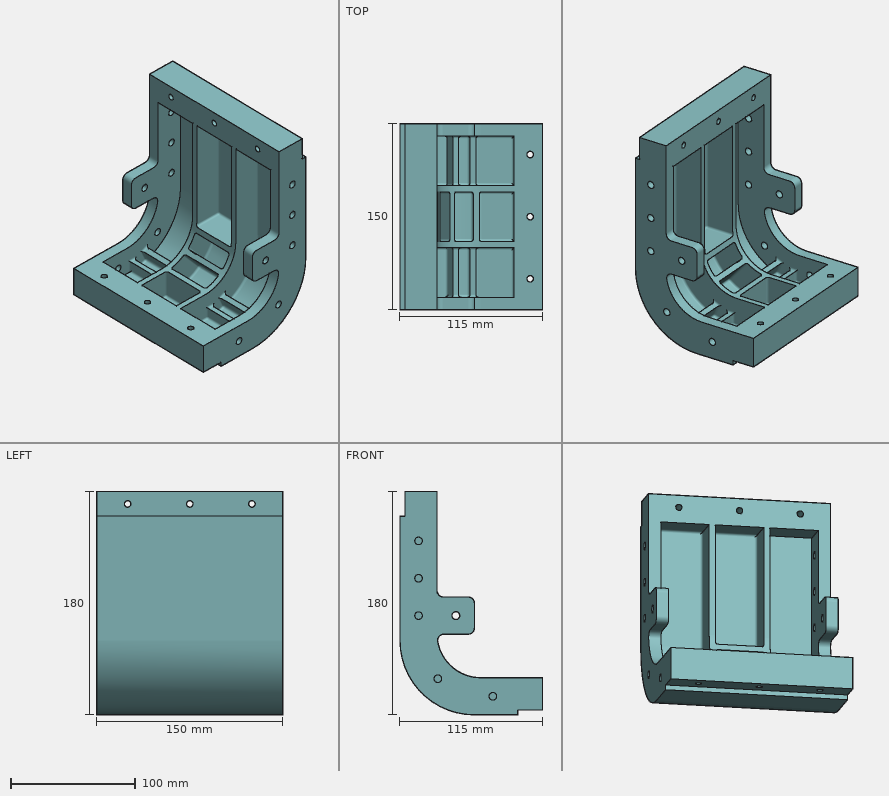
import cadquery as cq
import math

length_x = 115.0
width_y = 150.0
height_z = 180.0
wall = 30.0
outer_radius = 60.0
inner_radius = 35.0
bend_centre = wall + inner_radius

rebate_depth = 4.0
rebate_length = 20.0

lug_size = 30.0
lug_radius = 5.0
lug_bottom = bend_centre

end_plate = 10.0
web = 5.0
bay_count = 3
bay_width = (width_y - 2 * end_plate - (bay_count - 1) * web) / bay_count
bay_pitch = bay_width + web
skin = 5.0
bay_end_margin = 23.0
bay_top = height_z - bay_end_margin
bay_right = length_x - bay_end_margin
floor_radius = outer_radius - skin
bay_fillet = 2.0

rib = 4.9
middle_base_rib_x = 61.5
middle_leg_rib_z = 55.0
middle_slant = 41.0
middle_rib_start = inner_radius - rib
side_base_rib_x = 58.9
side_slant = 23.6
side_rib_start = inner_radius + wall / 2

plate_hole_diameter = 6.1
flange_hole_diameter = 5.0
flange_hole_pitch = 50.0
flange_hole_inset = 10.0
leg_hole_pitch = 30.0
leg_hole_count = 3
lug_hole_z = lug_bottom + lug_size / 2
bend_hole = (30.6, 29.2)
base_hole_x = 74.9

tolerance = 0.02


def prism(sketch, y_start, y_length):
    """Extrude a closed XZ sketch towards +Y from y_start."""
    return sketch.extrude(-y_length).translate((0, y_start, 0))


def arc_point(centre, radius):
    """Point halfway round a bend whose axis is at (centre, centre)."""
    return (centre - radius * math.sqrt(0.5),) * 2


def make_body():
    outline = (
        cq.Workplane("XZ")
        .moveTo(rebate_depth, height_z)
        .lineTo(rebate_depth, height_z - rebate_length)
        .lineTo(0, height_z - rebate_length)
        .lineTo(0, outer_radius)
        .threePointArc(arc_point(outer_radius, outer_radius), (outer_radius, 0))
        .lineTo(length_x - rebate_length, 0)
        .lineTo(length_x - rebate_length, rebate_depth)
        .lineTo(length_x, rebate_depth)
        .lineTo(length_x, wall)
        .lineTo(bend_centre, wall)
        .threePointArc(arc_point(bend_centre, inner_radius), (wall, bend_centre))
        .lineTo(wall, height_z)
        .close()
    )
    return prism(outline, 0, width_y)


def make_lug(y_start):
    """Lug with rounded free corners, blended into the leg above and the bend below."""
    lug_top = lug_bottom + lug_size
    lug_end = wall + lug_size
    block = prism(
        cq.Workplane("XZ").moveTo(skin, lug_bottom).lineTo(lug_end, lug_bottom)
        .lineTo(lug_end, lug_top).lineTo(skin, lug_top).close(),
        y_start, end_plate,
    ).edges("|Y and >X").fillet(lug_radius)
    upper_blend = prism(
        cq.Workplane("XZ").moveTo(wall, lug_top).lineTo(wall + lug_radius, lug_top)
        .radiusArc((wall, lug_top + lug_radius), lug_radius).close(),
        y_start, end_plate,
    )
    blend_reach = inner_radius - lug_radius
    blend_x = bend_centre - math.sqrt(blend_reach**2 - lug_radius**2)
    blend_z = lug_bottom - lug_radius
    stretch = inner_radius / blend_reach
    touch = (
        bend_centre + (blend_x - bend_centre) * stretch,
        bend_centre + (blend_z - bend_centre) * stretch,
    )
    lower_blend = prism(
        cq.Workplane("XZ").moveTo(blend_x, lug_bottom).lineTo(skin, lug_bottom)
        .lineTo(skin, touch[1]).lineTo(*touch)
        .radiusArc((blend_x, lug_bottom), lug_radius).close(),
        y_start, end_plate,
    )
    return block.union(upper_blend).union(lower_blend)


def bay_space(y_start):
    """Room of one bay, from the floor under the skin out to the open inside of the bend."""
    outline = (
        cq.Workplane("XZ")
        .moveTo(skin, bay_top)
        .lineTo(skin, outer_radius)
        .threePointArc(arc_point(outer_radius, floor_radius), (outer_radius, skin))
        .lineTo(bay_right, skin)
        .lineTo(bay_right, bay_top)
        .close()
    )
    return prism(outline, y_start, bay_width)


def rib_plate(y_start, axis_x, axis_z, slant, start):
    """Plate leaning by slant from straight down, from start outwards off an axis along Y."""
    plate = cq.Workplane("XY").box(rib, bay_width, height_z, centered=(True, False, False))
    return (
        plate.translate((0, y_start, -start - height_z))
        .rotate((0, 0, 0), (0, 1, 0), slant)
        .translate((axis_x, 0, axis_z))
    )


def near(value, target):
    """True where two coordinates agree within the tolerance."""
    return abs(value - target) < tolerance


def on_floor_border(x, z):
    """True on the bay floor, except where its flat and curved stretches meet."""
    if max(x, z) < outer_radius - tolerance:
        reach = math.hypot(x - outer_radius, z - outer_radius)
        return near(reach, floor_radius)
    return near(min(x, z), skin) and not near(max(x, z), outer_radius)


def on_bay_end(x, z):
    """True on the two end faces of a bay."""
    return near(x, bay_right) or near(z, bay_top)


def beside_leg(x, z):
    """True on the leg side of the slanting rib in the side bays."""
    slant = math.radians(side_slant)
    return (x - bend_centre) * math.cos(slant) < (z - bend_centre) * math.sin(slant)


def is_rounded(edge, bay):
    """Choose floor borders and rib ends, less the few floor borders that stay square."""
    middle = edge.positionAt(0.5)
    x, z = middle.x, middle.z
    front = end_plate + bay * bay_pitch
    back = front + bay_width
    at_front = near(middle.y, front)
    at_back = near(middle.y, back)
    if not on_floor_border(x, z):
        return (at_front or at_back) and not on_bay_end(x, z)
    if bay == 0 and at_front:
        return side_base_rib_x > x and not beside_leg(x, z)
    if bay == bay_count - 1 and beside_leg(x, z):
        return at_front
    return True


def make_bay(bay, ribs):
    """Cutter for one bay: its room less the ribs, rounded where they meet the floor and walls."""
    cutter = bay_space(end_plate + bay * bay_pitch)
    for plate in ribs:
        cutter = cutter.cut(plate)
    chamber = cutter.val()
    rounded_edges = [edge for edge in chamber.Edges() if is_rounded(edge, bay)]
    return cutter.newObject(rounded_edges).fillet(bay_fillet)


def side_ribs(y_start):
    """Low ribs of the outer bays: one slanting, one upright on the base."""
    return [
        rib_plate(y_start, bend_centre, bend_centre, side_slant, side_rib_start),
        rib_plate(y_start, side_base_rib_x, bend_centre, 0, side_rib_start),
    ]


def middle_ribs(y_start):
    """Full-depth ribs of the middle bay: on the leg, slanting in the bend, upright on the base."""
    return [
        rib_plate(y_start, bend_centre, middle_leg_rib_z, 90, middle_rib_start),
        rib_plate(y_start, bend_centre, bend_centre, middle_slant, middle_rib_start),
        rib_plate(y_start, middle_base_rib_x, bend_centre, 0, middle_rib_start),
    ]


def hole_along_y(x, z, y_start, depth):
    return cq.Workplane("XZ").circle(plate_hole_diameter / 2).extrude(-depth).translate((x, y_start, z))


def plate_holes(y_start):
    """Holes through one end plate and its lug."""
    places = [(wall / 2, lug_hole_z + i * leg_hole_pitch) for i in range(leg_hole_count)]
    places += [(wall + lug_size / 2, lug_hole_z), bend_hole, (base_hole_x, wall / 2)]
    holes = cq.Workplane("XY")
    for x, z in places:
        holes = holes.add(hole_along_y(x, z, y_start, end_plate))
    return holes


def flange_holes():
    """A row of holes through the rebated end of the leg and another through the base."""
    radius = flange_hole_diameter / 2
    holes = cq.Workplane("XY")
    for i in (-1, 0, 1):
        y = width_y / 2 + i * flange_hole_pitch
        leg_place = (0, y, height_z - flange_hole_inset)
        base_place = (length_x - flange_hole_inset, y, 0)
        holes = holes.add(cq.Workplane("YZ").circle(radius).extrude(wall).translate(leg_place))
        holes = holes.add(cq.Workplane("XY").circle(radius).extrude(wall).translate(base_place))
    return holes


result = make_body()

for bay in range(bay_count):
    y_start = end_plate + bay * bay_pitch
    ribs = middle_ribs(y_start) if bay == bay_count // 2 else side_ribs(y_start)
    result = result.cut(make_bay(bay, ribs))

for y_start in (0, width_y - end_plate):
    result = result.union(make_lug(y_start))
    for hole in plate_holes(y_start).vals():
        result = result.cut(cq.Workplane(hole))

for hole in flange_holes().vals():
    result = result.cut(cq.Workplane(hole))